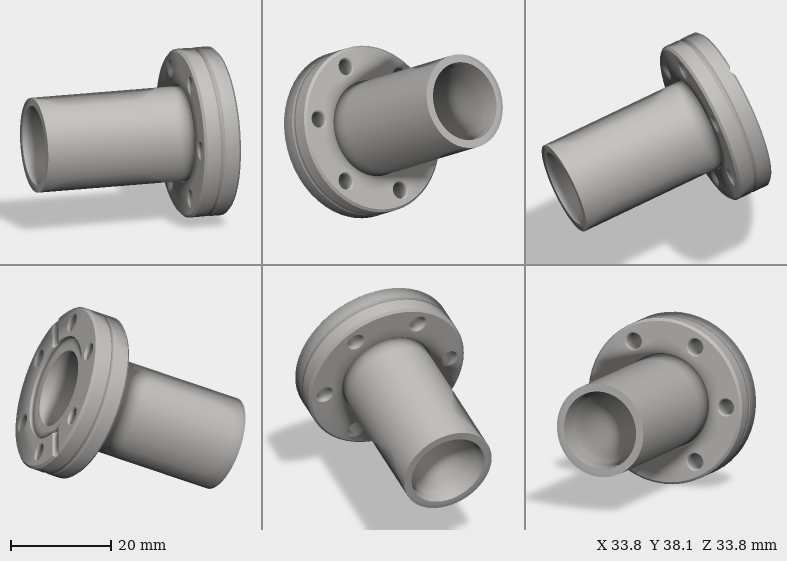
import cadquery as cq
import math


total_length = 38.1
flange_diameter = 33.8
flange_thickness = 7.62
rim_chamfer = 0.5

tube_diameter = 19.0
tube_bore = 15.8

hub_collar_diameter = 21.1
hub_recess = 0.75
collar_back = 3.8

flange_bore = 19.2
counterbore_diameter = 21.4
bore_chamfer = 0.25

bolt_count = 6
bolt_circle_diameter = 27.0
bolt_hole_diameter = 3.25
bolt_hole_chamfer = 0.25

groove_center = 3.8
groove_width = 1.0
groove_depth = 0.248

notch_width = 2.4
notch_depth = 0.6


def arc_radius(chord, rise):
    """Radius of the circle that has the given rise over the given chord."""
    return (chord**2 / 4 + rise**2) / (2 * rise)


def disc(diameter, front, back):
    """Cylinder about the Y axis between two depths below the sealing face."""
    plane = cq.Workplane("XZ", origin=(0, -front, 0))
    return plane.circle(diameter / 2).extrude(back - front)


def make_rim_groove():
    """Ring of circular section that cuts the shallow rim groove."""
    section_radius = arc_radius(groove_width, groove_depth)
    section_center = flange_diameter / 2 - groove_depth + section_radius
    section = cq.Workplane("XY").center(section_center, -groove_center).circle(section_radius)
    return section.revolve(360, (-section_center, 0), (-section_center, 1))


def make_leak_check_notches():
    """Round bar along Z that cuts a notch at both the top and the bottom of the face."""
    radius = arc_radius(notch_width, notch_depth)
    bar = cq.Workplane("XY").center(0, radius - notch_depth).circle(radius)
    return bar.extrude(flange_diameter / 2, both=True)


def make_bolt_holes():
    """Through holes on the bolt circle, countersunk at both faces."""
    hole_radius = bolt_hole_diameter / 2
    mouth_radius = hole_radius + bolt_hole_chamfer
    profile = [
        (0, 0),
        (mouth_radius, 0),
        (hole_radius, -bolt_hole_chamfer),
        (hole_radius, -flange_thickness + bolt_hole_chamfer),
        (mouth_radius, -flange_thickness),
        (0, -flange_thickness),
    ]
    hole = cq.Workplane("XY").polyline(profile).close().revolve(360, (0, 0), (0, 1))
    holes = cq.Workplane("XY")
    for index in range(bolt_count):
        angle = 2 * math.pi * index / bolt_count
        x = bolt_circle_diameter / 2 * math.cos(angle)
        z = bolt_circle_diameter / 2 * math.sin(angle)
        holes = holes.add(hole.translate((x, 0, z)))
    return holes.combine()


def make_flange():
    flange = disc(flange_diameter, 0, flange_thickness).edges().chamfer(rim_chamfer)
    flange = flange.cut(disc(flange_bore, 0, flange_thickness))
    back_bore_edge = flange.faces("<Y").edges(cq.selectors.RadiusNthSelector(0))
    flange = back_bore_edge.chamfer(bore_chamfer)
    flange = flange.cut(disc(counterbore_diameter, 0, collar_back))
    flange = flange.cut(make_rim_groove())
    flange = flange.cut(make_leak_check_notches())
    return flange.cut(make_bolt_holes())


def make_hub():
    """Collar seated on the flange shoulder, with the same bore as the tube."""
    collar = disc(hub_collar_diameter, hub_recess, collar_back)
    return collar.cut(disc(tube_bore, hub_recess, collar_back))


def make_tube():
    """Plain tube that passes through the flange bore and butts against the collar."""
    tube = disc(tube_diameter, collar_back, total_length)
    return tube.cut(disc(tube_bore, collar_back, total_length))


flange = make_flange()
hub = make_hub()
tube = make_tube()

result = cq.Compound.makeCompound([
    flange.solids().val(),
    hub.solids().val(),
    tube.solids().val(),
])